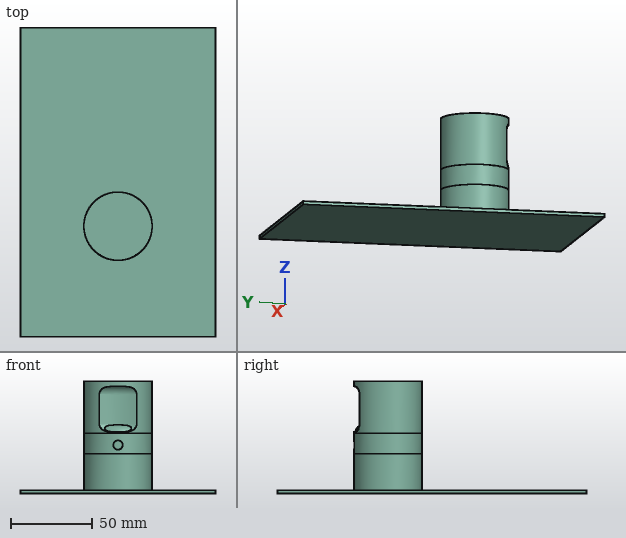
import cadquery as cq

plate_width = 120.1
plate_length = 190.0
plate_thickness = 2.0

post_diameter = 42.0
post_y = -27.0
base_height = 22.5
ring_height = 12.5
cap_height = 32.1

sleeve_wall = 0.8
spigot_rise = 5.1
round_radius = 5.0

hole_diameter = 5.7
hole_height = 5.3

pocket_radius = 32.3
pocket_depth = 5.5
pocket_height = 28.0
pocket_lift = 0.85
pocket_rounding = 5.1

post_radius = post_diameter / 2
spigot_radius = post_radius - sleeve_wall
base_bottom = plate_thickness
ring_bottom = base_bottom + base_height
cap_bottom = ring_bottom + ring_height
post_front = post_y - post_radius


def post_cylinder(radius, bottom, height):
    """Upright cylinder on the post axis."""
    return cq.Workplane("XY", origin=(0, post_y, bottom)).circle(radius).extrude(height)


def make_spigot():
    """Round-topped core that fills the ring and locates the cap."""
    core = post_cylinder(spigot_radius, ring_bottom, ring_height + spigot_rise)
    return core.faces(">Z").edges().fillet(round_radius)


def make_plate():
    """Thin rectangular ground plate."""
    return cq.Workplane("XY").box(
        plate_width, plate_length, plate_thickness, centered=(True, True, False)
    )


def make_base():
    """Lower part of the post, carrying the spigot."""
    return post_cylinder(post_radius, base_bottom, base_height).union(make_spigot())


def make_ring():
    """Thin sleeve around the spigot with a round hole through its front wall."""
    sleeve = post_cylinder(post_radius, ring_bottom, ring_height)
    hole = (
        cq.Workplane("XZ", origin=(0, post_y, ring_bottom + hole_height))
        .circle(hole_diameter / 2)
        .extrude(post_diameter)
    )
    return sleeve.cut(make_spigot()).cut(hole)


def make_pocket():
    """Rounded upright drum whose flank scoops the finger pocket out of the cap."""
    drum_y = post_front + pocket_depth - pocket_radius
    drum = (
        cq.Workplane("XY", origin=(0, drum_y, cap_bottom + pocket_lift))
        .circle(pocket_radius)
        .extrude(pocket_height)
    )
    return drum.faces("|Z").edges().fillet(pocket_rounding)


def make_cap():
    """Top of the post; the pocket breaks into the spigot recess and bares the spigot edge."""
    cap = post_cylinder(post_radius, cap_bottom, cap_height)
    return cap.cut(make_pocket()).cut(make_spigot())


plate = make_plate().solids()
base = make_base().solids()
ring = make_ring().solids()
cap = make_cap().solids()

result = cq.Compound.makeCompound([plate.val(), base.val(), ring.val(), cap.val()])